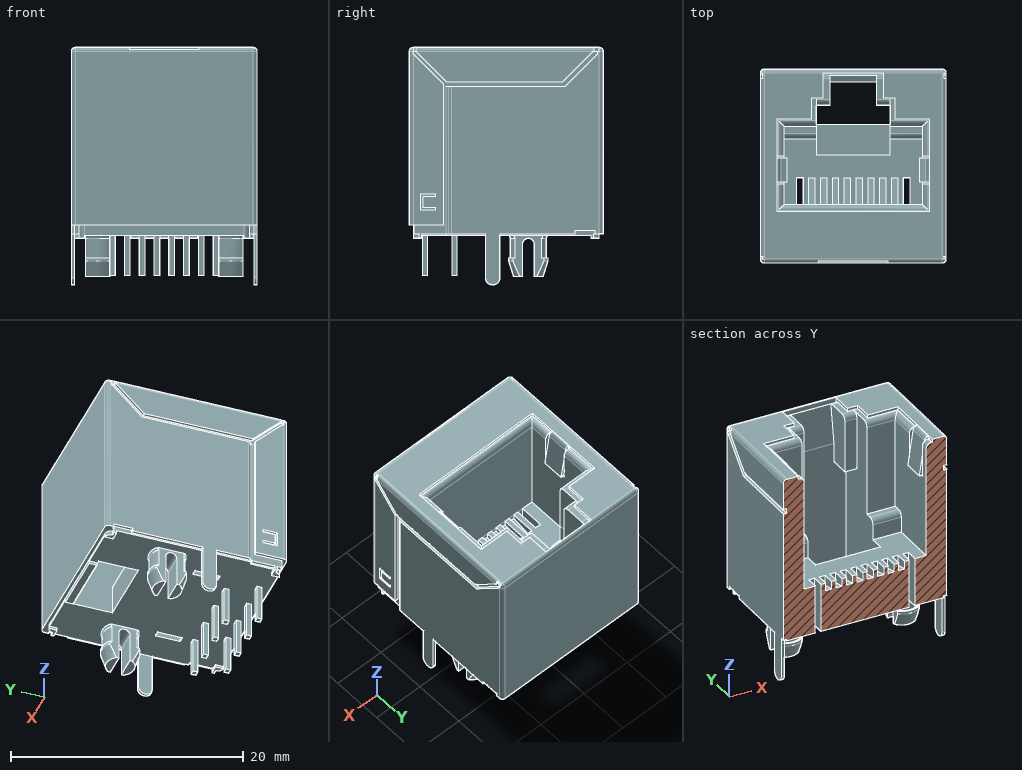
import cadquery as cq


WIDTH = 16.0
DEPTH = 16.7
TOP = 16.45
SHEET = 0.3
BEND = 0.35
HALF_W = WIDTH / 2
HALF_D = DEPTH / 2
CORE_X = HALF_W - SHEET
CORE_Y = HALF_D - BEND
HOUSING_TOP = TOP - SHEET

SHIELD_BOTTOM = 0.4
FRONT_BOTTOM = 1.15
FLAP_DROP = 2.97
FLAP_BACK = 4.85
FLAP_FRONT = -5.15
SEAM = 0.41
SEAM_BACK = 7.83
FRONT_FLAP_EDGE = -5.39
JOG_START = -4.73
JOG_END = -5.18
JOG_FLOOR_FRONT = -7.92
TOP_NOTCH_W = 6.0
TOP_NOTCH = 0.2
RELIEF_X = 7.8
RELIEF_BACK = (7.53, CORE_Y)
RELIEF_FRONT = (-CORE_Y, -7.77)
BOTTOM_NOTCH = (5.9, 7.62)
BOTTOM_NOTCH_H = 0.27
LATCH_Y = (-7.38, -6.07)
LATCH_Z = (2.45, 3.82)
LATCH_SLIT = 0.2

OPENING_X = 6.55
OPENING_Y = (-3.91, 4.06)
OPENING_STEP_X = 3.6
OPENING_STEP_Y = 5.88
OPENING_KEY_X = 2.6
CAVITY_X = 5.94
CAVITY_Y = (-3.3, 3.42)
RIM_RADIUS = 0.5
CAVITY_FLOOR = 5.0
LEDGE_TOP = 7.0
LEDGE_Y = 2.32
LEDGE_RADIUS = 0.5
CHANNEL_X = 3.17
CHANNEL_FRONT = 0.95
CHANNEL_FLOOR = 3.0
CHANNEL_STEP_Y = 5.23
THROUGH_Y = (3.58, 7.22)
KEY_X = 2.0
KEY_BACK = 7.79
KEY_SLOPE_END = 12.4
KEY_BOTTOM = 10.6
BACK_ROUND = 0.47

SLOT_COUNT = 10
SLOT_PITCH = 1.02
SLOT_W = 0.55
SLOT_BACK = -1.01
CONTACT_LOW = 4.0
CONTACT_HIGH = 4.5

FINGER_Y = (-1.38, 0.70)
FINGER_CLEARANCE = 0.15
FINGER_POCKET_X = 6.66
FINGER_TIP_X = 5.71
FINGER_BEND_X = 6.23
FINGER_BEND_DROP = 0.45
FINGER_TIP_Z = 12.6

BASE_BOTTOM = 0.25
FRONT_BASE_X = 7.4
FOOT_X = (6.83, 7.32)
FOOT_Y = 7.27
FOOT_RADIUS = 0.48
FOOT_WING_Y = 7.5
BACK_FOOT_HALF_W = 2.9
PIN_PITCH = 1.27
PIN_COUNT = 8
PIN_W = 0.5
PIN_T = 0.45
PIN_BOTTOM = -3.2
PIN_ROWS = (-6.99, -4.45)
TAB_Y = -1.17
TAB_W = 1.26
TAB_BOTTOM = -4.0
PEG_X = 5.715
PEG_Y = 1.9
PEG_RADIUS = 1.56
PEG_COLLAR_RADIUS = 1.64
PEG_BARB_RADIUS = 1.7
PEG_TIP_RADIUS = 1.28
PEG_HALF_W = 1.06
PEG_BARB_Z = (-1.93, -1.66)
PEG_BOTTOM = -3.28
PEG_SLOT_W = 1.0

CLEAR = 1.0


def block(x0, x1, y0, y1, z0, z1):
    """Box from its two limits along each axis."""
    return cq.Workplane("XY").box(x1 - x0, y1 - y0, z1 - z0, centered=False).translate((x0, y0, z0))


def both_sides(shape):
    """The shape on +X together with its mirror image on -X."""
    return shape.union(shape.mirror("YZ"))


def side_prism(points, x0, x1):
    """Prism with an outline in Y and Z, running along X."""
    return cq.Workplane("YZ").workplane(offset=x0).polyline(points).close().extrude(x1 - x0)


def shield_body():
    """Shield and housing as one block, with the shorter front panel and the front notches."""
    body = block(-HALF_W, HALF_W, -HALF_D, HALF_D, SHIELD_BOTTOM, TOP)
    body = body.edges("|Z or >Z").fillet(BEND)
    below_front = block(-HALF_W, HALF_W, -HALF_D, -CORE_Y, 0, FRONT_BOTTOM)
    corner = block(FOOT_X[1], HALF_W, -HALF_D, JOG_FLOOR_FRONT, 0, FRONT_BOTTOM)
    corner = corner.union(block(*FOOT_X, -HALF_D, -FOOT_Y, 0, FRONT_BOTTOM))
    notch_half = TOP_NOTCH_W / 2
    top_notch = block(-notch_half, notch_half, -HALF_D, TOP_NOTCH - HALF_D, TOP - TOP_NOTCH, TOP)
    return body.cut(below_front).cut(both_sides(corner)).cut(top_notch)


def side_seam():
    """Gap along the sloping and straight edges of the top flap."""
    top_z = TOP - BEND
    edge_z = TOP - FLAP_DROP
    rise = top_z - edge_z
    lower_z = edge_z - SEAM
    back_run = SEAM_BACK - FLAP_BACK - SEAM / 2
    upper = [(SEAM_BACK, top_z), (FLAP_BACK + rise, top_z), (FLAP_BACK, edge_z), (FLAP_FRONT, edge_z),
             (FLAP_FRONT - rise, top_z)]
    lower = [(FRONT_FLAP_EDGE - rise, top_z), (FRONT_FLAP_EDGE - rise, top_z - SEAM / 2),
             (FRONT_FLAP_EDGE, edge_z - SEAM / 2), (FRONT_FLAP_EDGE, lower_z),
             (FLAP_BACK + SEAM / 2, lower_z), (SEAM_BACK, lower_z + back_run)]
    return side_prism(upper + lower, CORE_X, HALF_W + CLEAR)


def side_jog():
    """Inward step of the side panel, an S bend, and the space beside and below the front flap."""
    seam_z = TOP - FLAP_DROP - SEAM
    middle = ((HALF_W + CORE_X) / 2, (JOG_START + JOG_END) / 2)
    step = (
        cq.Workplane("XY").workplane(offset=SHIELD_BOTTOM)
        .moveTo(CORE_X, FRONT_FLAP_EDGE).lineTo(CORE_X, JOG_END)
        .tangentArcPoint(middle, relative=False).tangentArcPoint((HALF_W, JOG_START), relative=False)
        .lineTo(HALF_W, FRONT_FLAP_EDGE).close().extrude(seam_z - SHIELD_BOTTOM)
    )
    under_flap = block(CORE_X, HALF_W, -HALF_D, FRONT_FLAP_EDGE, 0, FRONT_BOTTOM)
    return step.union(under_flap)


def corner_relief(limits):
    """Relief at one end of the top bend, between two Y limits."""
    return block(RELIEF_X, HALF_W, limits[0], limits[1], TOP - BEND, TOP)


def bottom_notch():
    """Shallow notch in the lower edge of the side panel."""
    return block(CORE_X, HALF_W, *BOTTOM_NOTCH, SHIELD_BOTTOM, SHIELD_BOTTOM + BOTTOM_NOTCH_H)


def latch_slit():
    """U-shaped slit around a small tongue in the front flap."""
    outer = block(CORE_X, HALF_W, *LATCH_Y, *LATCH_Z)
    tongue = block(CORE_X, HALF_W, LATCH_Y[0] + LATCH_SLIT, LATCH_Y[1],
                   LATCH_Z[0] + LATCH_SLIT, LATCH_Z[1] - LATCH_SLIT)
    return outer.cut(tongue)


def shield_opening():
    """Stepped opening in the top sheet, with the housing's back edge rounded where it is exposed."""
    main = block(-OPENING_X, OPENING_X, *OPENING_Y, HOUSING_TOP, TOP)
    step = block(-OPENING_STEP_X, OPENING_STEP_X, 0, OPENING_STEP_Y, HOUSING_TOP, TOP)
    key = block(-OPENING_KEY_X, OPENING_KEY_X, 0, CORE_Y, HOUSING_TOP, TOP)
    round_y = CORE_Y - BACK_ROUND
    round_z = HOUSING_TOP - BACK_ROUND
    edge = block(-OPENING_KEY_X, OPENING_KEY_X, round_y, CORE_Y, round_z, HOUSING_TOP)
    round_edge = (
        cq.Workplane("YZ").center(round_y, round_z)
        .circle(BACK_ROUND).extrude(OPENING_KEY_X, both=True)
    )
    return main.union(step).union(key).union(edge.cut(round_edge))


def round_rim(body, x, y_limits):
    """Round the housing edges at the socket rim that lie inside a rectangle."""
    margin = 0.01
    rim = cq.selectors.BoxSelector(
        (-x - margin, y_limits[0] - margin, HOUSING_TOP - margin),
        (x + margin, y_limits[1] + margin, HOUSING_TOP + margin),
    )
    return body.edges(rim).fillet(RIM_RADIUS)


def cut_cavity(body):
    """Plug cavity with a rounded rim and a ledge along its back wall."""
    body = body.cut(block(-CAVITY_X, CAVITY_X, *CAVITY_Y, CAVITY_FLOOR, HOUSING_TOP))
    body = round_rim(body, CAVITY_X, CAVITY_Y)
    ledge = block(-CAVITY_X, CAVITY_X, LEDGE_Y, CAVITY_Y[1], CAVITY_FLOOR, LEDGE_TOP)
    return body.union(ledge.edges(">Z and <Y").fillet(LEDGE_RADIUS))


def cut_latch_channel(body):
    """Channel for the plug latch: wide below, narrowed to a key slot at the top."""
    step_y = (CHANNEL_FRONT, CHANNEL_STEP_Y)
    body = body.cut(block(-CHANNEL_X, CHANNEL_X, *step_y, KEY_BOTTOM, HOUSING_TOP))
    body = round_rim(body, CHANNEL_X, (CHANNEL_STEP_Y, CHANNEL_STEP_Y))
    pocket = block(-CHANNEL_X, CHANNEL_X, CHANNEL_FRONT, THROUGH_Y[0], CHANNEL_FLOOR, KEY_BOTTOM)
    through = block(-CHANNEL_X, CHANNEL_X, *THROUGH_Y, -CLEAR, KEY_BOTTOM)
    key_outline = [(CHANNEL_FRONT, KEY_BOTTOM), (THROUGH_Y[1], KEY_BOTTOM), (THROUGH_Y[1], KEY_SLOPE_END),
                   (KEY_BACK, HOUSING_TOP), (CHANNEL_FRONT, HOUSING_TOP)]
    key_slot = side_prism(key_outline, -KEY_X, KEY_X)
    return body.cut(through.union(pocket).union(key_slot))


def cut_contact_slots(body):
    """Row of slots in the cavity floor; all but the two outer ones hold a sloping contact."""
    contact_outline = [(CAVITY_Y[0], -CLEAR), (SLOT_BACK, -CLEAR), (SLOT_BACK, CONTACT_LOW),
                       (CAVITY_Y[0], CONTACT_HIGH)]
    for i in range(SLOT_COUNT):
        x0 = (i - (SLOT_COUNT - 1) / 2) * SLOT_PITCH - SLOT_W / 2
        x1 = x0 + SLOT_W
        slot = block(x0, x1, CAVITY_Y[0], SLOT_BACK, -CLEAR, CAVITY_FLOOR)
        if 0 < i < SLOT_COUNT - 1:
            slot = slot.cut(side_prism(contact_outline, x0, x1))
        body = body.cut(slot)
    return body


def finger_pocket():
    """Recess in the housing wall around a spring finger."""
    y0 = FINGER_Y[0] - FINGER_CLEARANCE
    y1 = FINGER_Y[1] + FINGER_CLEARANCE
    return block(FINGER_TIP_X, FINGER_POCKET_X, y0, y1, FINGER_TIP_Z, HOUSING_TOP)


def spring_finger():
    """Shield tongue bent down into the cavity."""
    bend_z = TOP - FINGER_BEND_DROP
    return (
        cq.Workplane("XZ").workplane(offset=-FINGER_Y[1])
        .moveTo(FINGER_POCKET_X, HOUSING_TOP).lineTo(FINGER_BEND_X + SHEET, bend_z - SHEET)
        .lineTo(FINGER_TIP_X + SHEET, FINGER_TIP_Z).lineTo(FINGER_TIP_X, FINGER_TIP_Z)
        .lineTo(FINGER_BEND_X, bend_z).tangentArcPoint((FINGER_POCKET_X, TOP), relative=False)
        .close().extrude(FINGER_Y[1] - FINGER_Y[0])
    )


def foot():
    """Standoff at the -Y end on the +X side, with a rounded outer corner and a short wing."""
    post = block(*FOOT_X, -CORE_Y, -FOOT_Y, 0, FRONT_BOTTOM)
    post = post.edges("|Z and >X and <Y").fillet(FOOT_RADIUS)
    wing = block(FOOT_X[0], CORE_X, -FOOT_WING_Y, -FOOT_Y, 0, FRONT_BOTTOM)
    return post.union(wing)


def base():
    """Bottom of the housing with its standoffs."""
    plate = block(-CORE_X, CORE_X, FLAP_FRONT, FOOT_Y, BASE_BOTTOM, FRONT_BOTTOM)
    front_plate = block(-FRONT_BASE_X, FRONT_BASE_X, -FOOT_Y, FLAP_FRONT, BASE_BOTTOM, FRONT_BOTTOM)
    middle = block(-FOOT_X[0], FOOT_X[0], -CORE_Y, CORE_Y, BASE_BOTTOM, FRONT_BOTTOM)
    back_foot = block(-BACK_FOOT_HALF_W, BACK_FOOT_HALF_W, FOOT_Y, CORE_Y, 0, FRONT_BOTTOM)
    feet = both_sides(foot().union(foot().mirror("XZ")))
    return plate.union(front_plate).union(middle).union(back_foot).union(feet)


def peg():
    """Split snap-in peg with flat sides, turned about a vertical axis."""
    barb_low, barb_high = PEG_BARB_Z
    profile = [(0, FRONT_BOTTOM), (PEG_COLLAR_RADIUS, FRONT_BOTTOM), (PEG_COLLAR_RADIUS, BASE_BOTTOM),
               (PEG_RADIUS, 0), (PEG_RADIUS, barb_high), (PEG_BARB_RADIUS, barb_high),
               (PEG_BARB_RADIUS, barb_low), (PEG_TIP_RADIUS, PEG_BOTTOM), (0, PEG_BOTTOM)]
    turned = cq.Workplane("XZ").polyline(profile).close().revolve(360, (0, 0, 0), (0, 1, 0))
    flats = block(-PEG_HALF_W, PEG_HALF_W, -PEG_BARB_RADIUS, PEG_BARB_RADIUS, PEG_BOTTOM, FRONT_BOTTOM)
    half_slot = PEG_SLOT_W / 2
    slot = block(-PEG_HALF_W, PEG_HALF_W, -half_slot, half_slot, PEG_BOTTOM, -half_slot)
    slot_end = cq.Workplane("YZ").center(0, -half_slot).circle(half_slot).extrude(PEG_HALF_W, both=True)
    return turned.intersect(flats).cut(slot.union(slot_end)).translate((PEG_X, PEG_Y, 0))


def ground_tab():
    """Shield leg with a fully rounded tip."""
    radius = TAB_W / 2
    return (
        cq.Workplane("YZ").workplane(offset=CORE_X)
        .moveTo(TAB_Y - radius, FRONT_BOTTOM).lineTo(TAB_Y - radius, TAB_BOTTOM + radius)
        .threePointArc((TAB_Y, TAB_BOTTOM), (TAB_Y + radius, TAB_BOTTOM + radius))
        .lineTo(TAB_Y + radius, FRONT_BOTTOM).close().extrude(SHEET)
    )


def pins():
    """Solder pins alternating between two rows."""
    group = cq.Workplane("XY")
    for i in range(PIN_COUNT):
        x = (i - (PIN_COUNT - 1) / 2) * PIN_PITCH
        y = PIN_ROWS[i % len(PIN_ROWS)]
        pin = block(x - PIN_W / 2, x + PIN_W / 2, y - PIN_T / 2, y + PIN_T / 2, PIN_BOTTOM, FRONT_BOTTOM)
        group = group.add(pin)
    return group.combine()


side_cuts = side_seam().union(side_jog()).union(bottom_notch()).union(latch_slit())
side_cuts = side_cuts.union(corner_relief(RELIEF_BACK)).union(corner_relief(RELIEF_FRONT))

result = shield_body().union(both_sides(ground_tab()))
result = result.cut(both_sides(side_cuts)).union(base())
result = result.cut(shield_opening())
result = cut_cavity(result)
result = cut_latch_channel(result)
result = cut_contact_slots(result)
result = result.cut(both_sides(finger_pocket()))
result = result.union(both_sides(spring_finger()))
result = result.union(both_sides(peg())).union(pins()).solids()